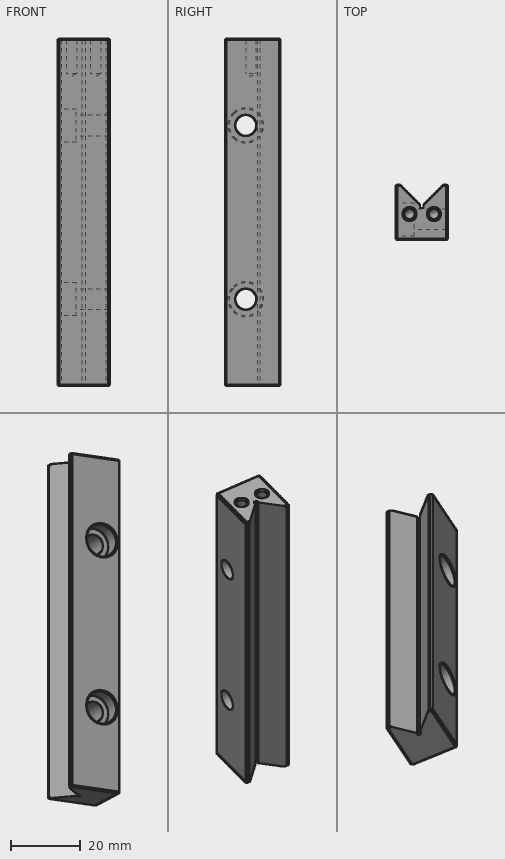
import cadquery as cq
import math

WIDTH = 15.0
DEPTH = 16.0
LENGTH = 100.0
BACK_Y = DEPTH / 2
FRONT_Y = -DEPTH / 2
EDGE_CHAMFER = 0.5

V_WIDTH = 12.7
V_HALF_WIDTH = V_WIDTH / 2
RELIEF_WIDTH = 1.0
RELIEF_DEPTH = 6.7

MOUNT_SPACING = 50.0
MOUNT_Y = FRONT_Y + 6.0
MOUNT_DIAMETER = 6.0
BORE_DIAMETER = 9.5
BORE_DEPTH = 5.2
BORE_CHAMFER = 0.35

SCREW_SPACING = 7.0
SCREW_Y = FRONT_Y + 7.5
SCREW_DIAMETER = 3.0
SCREW_DEPTH = 10.0
SCREW_CHAMFER = 0.5
DRILL_POINT_ANGLE = 118.0
DRILL_POINT_HEIGHT = SCREW_DIAMETER / 2 / math.tan(math.radians(DRILL_POINT_ANGLE / 2))


def make_bar():
    """Rectangular bar with every outer edge chamfered."""
    return cq.Workplane("XY").box(WIDTH, DEPTH, LENGTH).edges().chamfer(EDGE_CHAMFER)


def make_groove():
    """Cutter for the V-groove and its relief slot, over the full length."""
    v_cut = (
        cq.Workplane("XY", origin=(0, BACK_Y, -LENGTH / 2))
        .polyline([(-V_HALF_WIDTH, 0), (V_HALF_WIDTH, 0), (0, -V_HALF_WIDTH)])
        .close()
        .extrude(LENGTH)
    )
    relief = cq.Workplane("XY").box(RELIEF_WIDTH, RELIEF_DEPTH, LENGTH)
    return v_cut.union(relief.translate((0, BACK_Y - RELIEF_DEPTH / 2, 0)))


def make_round_cutter(steps):
    """Cutter along -Z from the (radius, height) points of its wall, first to last."""
    return cq.Workplane("XZ").polyline([(0, 0)] + steps).close().revolve(360, (0, 0), (0, 1))


def make_mount_hole():
    """Counterbored through hole entering from the -X face."""
    bore_radius = BORE_DIAMETER / 2
    mount_radius = MOUNT_DIAMETER / 2
    cutter = make_round_cutter([
        (bore_radius + BORE_CHAMFER, 0),
        (bore_radius, -BORE_CHAMFER),
        (bore_radius, -BORE_DEPTH),
        (mount_radius, -BORE_DEPTH),
        (mount_radius, -WIDTH),
        (0, -WIDTH),
    ])
    return cutter.rotate((0, 0, 0), (0, 1, 0), -90).translate((-WIDTH / 2, MOUNT_Y, 0))


def make_screw_hole():
    """Blind hole with a mouth chamfer and a drill point, entering from the top face."""
    radius = SCREW_DIAMETER / 2
    cutter = make_round_cutter([
        (radius + SCREW_CHAMFER, 0),
        (radius, -SCREW_CHAMFER),
        (radius, -SCREW_DEPTH),
        (0, -SCREW_DEPTH - DRILL_POINT_HEIGHT),
    ])
    return cutter.translate((0, SCREW_Y, LENGTH / 2))


result = make_bar().cut(make_groove())
for side in (-1, 1):
    result = result.cut(make_mount_hole().translate((0, 0, side * MOUNT_SPACING / 2)))
    result = result.cut(make_screw_hole().translate((side * SCREW_SPACING / 2, 0, 0)))